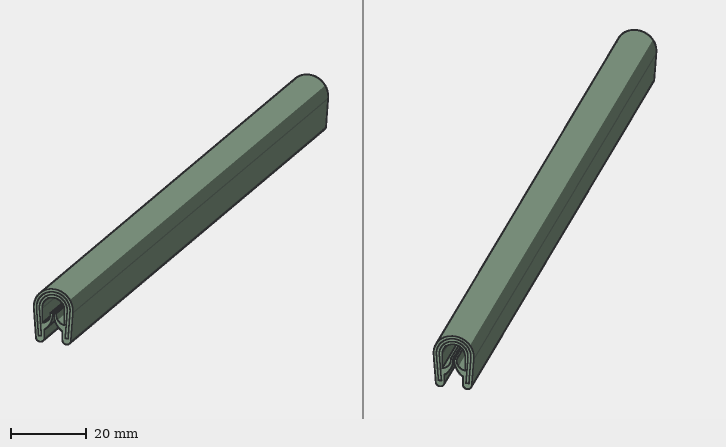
import cadquery as cq
import math

length = 200.0
total_height = 15.0
outer_radius = 11.0 / 2
wall = 2.5
core_cover = 0.8
core_thickness = 0.8

tip_outer_x = 4.9
tip_radius = 1.2
core_end_z = -7.8

lip_top_z = -4.2
lip_bottom_z = -6.0
lip_tip_x = 0.8
lip_tip_z = -1.2
lip_half_gap = 0.2
lip_elbow_outer = (1.5, -3.5)
lip_elbow_inner = (1.0, -4.5)

inner_radius = outer_radius - wall
bottom_z = outer_radius - total_height
tip_center_z = bottom_z + tip_radius
tip_inner_x = tip_outer_x - 2 * tip_radius
tip_center_x = tip_outer_x - tip_radius

tip_distance = math.hypot(tip_outer_x, tip_center_z)
leg_lean = math.atan2(-tip_center_z, tip_outer_x) - math.acos(outer_radius / tip_distance)


def tangent_point(radius):
    """Point on the right where an arc of this radius meets the leaning leg."""
    return radius * math.cos(leg_lean), -radius * math.sin(leg_lean)


def extrude_along_y(profile):
    return profile.extrude(length / 2, both=True).solids()


def make_trim_blank():
    """U-shaped wall with round leg tips and two inward lips, before the core slot is cut."""
    outer_x, outer_z = tangent_point(outer_radius)
    profile = (
        cq.Workplane("XZ")
        .moveTo(-outer_x, outer_z)
        .threePointArc((0, outer_radius), (outer_x, outer_z))
        .lineTo(tip_outer_x, tip_center_z)
        .threePointArc((tip_center_x, bottom_z), (tip_inner_x, tip_center_z))
        .lineTo(tip_inner_x, lip_bottom_z)
        .threePointArc(lip_elbow_inner, (lip_half_gap, lip_tip_z))
        .lineTo(lip_tip_x, lip_tip_z)
        .threePointArc(lip_elbow_outer, (inner_radius, lip_top_z))
        .lineTo(inner_radius, 0)
        .threePointArc((0, inner_radius), (-inner_radius, 0))
        .lineTo(-inner_radius, lip_top_z)
        .threePointArc((-lip_elbow_outer[0], lip_elbow_outer[1]), (-lip_tip_x, lip_tip_z))
        .lineTo(-lip_half_gap, lip_tip_z)
        .threePointArc((-lip_elbow_inner[0], lip_elbow_inner[1]), (-tip_inner_x, lip_bottom_z))
        .lineTo(-tip_inner_x, tip_center_z)
        .threePointArc((-tip_center_x, bottom_z), (-tip_outer_x, tip_center_z))
        .close()
    )
    return extrude_along_y(profile)


def make_core():
    """Thin U-shaped strip following the outer wall at a constant cover."""
    core_outer_radius = outer_radius - core_cover
    core_inner_radius = core_outer_radius - core_thickness
    outer_x, outer_z = tangent_point(core_outer_radius)
    inner_x, inner_z = tangent_point(core_inner_radius)
    end_outer_x = outer_x - (outer_z - core_end_z) * math.tan(leg_lean)
    end_inner_x = inner_x - (inner_z - core_end_z) * math.tan(leg_lean)
    profile = (
        cq.Workplane("XZ")
        .moveTo(-outer_x, outer_z)
        .threePointArc((0, core_outer_radius), (outer_x, outer_z))
        .lineTo(end_outer_x, core_end_z)
        .lineTo(end_inner_x, core_end_z)
        .lineTo(inner_x, inner_z)
        .threePointArc((0, core_inner_radius), (-inner_x, inner_z))
        .lineTo(-end_inner_x, core_end_z)
        .lineTo(-end_outer_x, core_end_z)
        .close()
    )
    return extrude_along_y(profile)


core = make_core()
trim = make_trim_blank().cut(core).solids()

result = cq.Compound.makeCompound([trim.val(), core.val()])